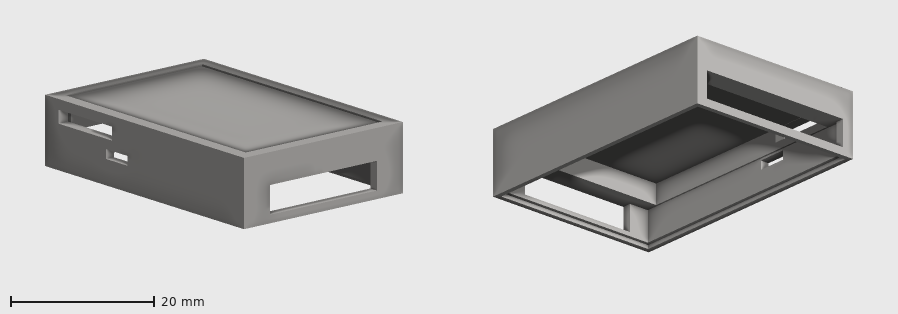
import cadquery as cq

length = 43.0
width = 29.0
height = 10.3
wall = 1.4

recess_margin = 2.0
recess_depth = 0.3

rebate_wall = 0.8
rebate_depth = 0.6

ceiling = 8.8
ledge_height = 5.55
upper_end_wall = 3.53
upper_side_wall = 1.7

window_bottom = 1.25
window_margin = 1.85
exit_margin = 4.75

long_slot_start = 2.92
long_slot_length = 11.5
long_slot_bottom = 6.75
long_slot_height = 2.0
short_slot_start = 13.15
short_slot_length = 4.65
short_slot_bottom = 3.83
short_slot_height = 1.4


def block(x_range, y_range, z_range):
    """Axis-aligned box given by its limits along each axis."""
    limits = (x_range, y_range, z_range)
    sizes = [high - low for low, high in limits]
    corner = tuple(low for low, high in limits)
    return cq.Workplane("XY").box(*sizes, centered=False).translate(corner)


def inset_block(end_margin, side_margin, z_range):
    """Box inset equally from opposite sides of the shell."""
    x_range = (end_margin, length - end_margin)
    y_range = (side_margin, width - side_margin)
    return block(x_range, y_range, z_range)


def end_opening(x_range, margin):
    """Rectangular opening centred across an end wall."""
    return block(x_range, (margin, width - margin), (window_bottom, ledge_height))


def front_slot(start, slot_length, bottom, slot_height, depth):
    """Slot running inward through the front wall."""
    return block((start, start + slot_length), (0, depth), (bottom, bottom + slot_height))


shell = block((0, length), (0, width), (0, height))

shell = shell.cut(inset_block(recess_margin, recess_margin, (height - recess_depth, height)))
shell = shell.cut(inset_block(rebate_wall, rebate_wall, (0, rebate_depth)))
shell = shell.cut(inset_block(wall, wall, (0, ledge_height)))
shell = shell.cut(inset_block(upper_end_wall, upper_side_wall, (ledge_height, ceiling)))

shell = shell.cut(end_opening((0, wall), window_margin))
shell = shell.cut(end_opening((length - wall, length), exit_margin))

shell = shell.cut(
    front_slot(long_slot_start, long_slot_length, long_slot_bottom, long_slot_height, upper_side_wall)
)
shell = shell.cut(
    front_slot(short_slot_start, short_slot_length, short_slot_bottom, short_slot_height, wall)
)

result = shell